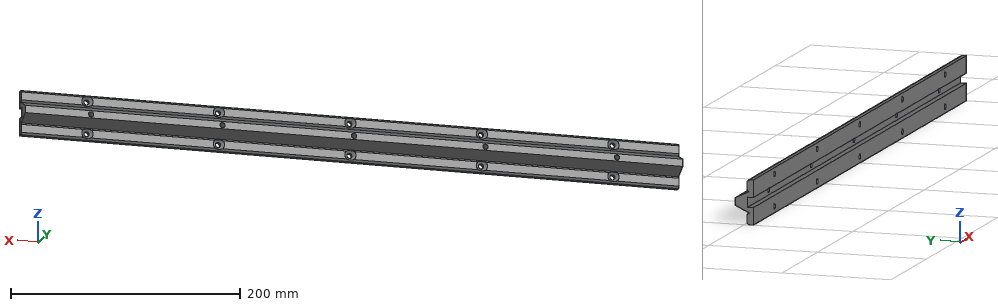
import cadquery as cq

length = 599.5
depth = 17.0
height = 40.0

flange_thickness = 6.0
flange_chamfer = 2.0
rib_base_width = 18.5
rib_tip_width = 6.5
groove_width = 9.0
groove_depth = 5.5

hole_diameter = 4.5
sink_diameter = 10.0
hole_columns = 5
hole_rows = 3
hole_pitch = length / hole_columns
row_spacing = 14.5

front = -depth / 2
back = depth / 2
flange_back = front + flange_thickness
chamfer_front = flange_back - flange_chamfer
groove_floor = front + groove_depth


def make_rail():
    """Extrude the flanged section with its tapered rear rib, front groove and chamfered flanges."""
    upper_half = [
        (groove_floor, groove_width / 2),
        (front, groove_width / 2),
        (front, height / 2),
        (chamfer_front, height / 2),
        (flange_back, height / 2 - flange_chamfer),
        (flange_back, rib_base_width / 2 + flange_chamfer),
        (chamfer_front, rib_base_width / 2),
        (back, rib_tip_width / 2),
    ]
    lower_half = [(y, -z) for y, z in reversed(upper_half)]
    return (
        cq.Workplane("YZ")
        .polyline(upper_half + lower_half)
        .close()
        .extrude(length / 2, both=True)
    )


def make_holes():
    """Three rows of holes running front to back: one per flange and one in the groove."""
    return (
        cq.Workplane("XZ")
        .rarray(hole_pitch, row_spacing, hole_columns, hole_rows)
        .circle(hole_diameter / 2)
        .extrude(depth, both=True)
    )


def make_sinks():
    """Conical 90 degree seats on the back of the two flange rows."""
    sink_depth = (sink_diameter - hole_diameter) / 2
    return (
        cq.Workplane("XZ", origin=(0, flange_back, 0))
        .rarray(hole_pitch, 2 * row_spacing, hole_columns, 2)
        .circle(sink_diameter / 2)
        .extrude(sink_depth, taper=45)
    )


result = make_rail().cut(make_holes()).cut(make_sinks())